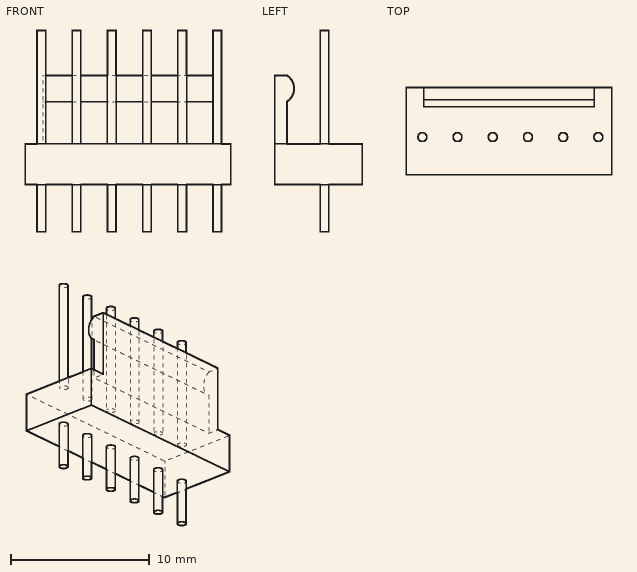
import cadquery as cq

base_length = 14.86
base_depth = 6.33
base_height = 2.94

pin_count = 6
pin_pitch = 2.54
pin_diameter = 0.64
first_pin_x = 1.17
pin_row_y = 2.73
pin_length_below = 3.42
pin_length_above = 8.19

wall_end_inset = 1.26
wall_thickness = 0.89
wall_height = 4.93
bead_height = 1.89
bead_projection = 0.52


def make_base():
    return cq.Workplane("XY").box(base_length, base_depth, base_height, centered=False)


def make_locking_wall():
    wall_length = base_length - 2 * wall_end_inset
    wall_front_y = base_depth - wall_thickness
    wall_top_z = base_height + wall_height
    bead_bottom_z = wall_top_z - bead_height
    bead_middle = (wall_front_y - bead_projection, wall_top_z - bead_height / 2)
    return (
        cq.Workplane("YZ", origin=(wall_end_inset, 0, 0))
        .moveTo(base_depth, 0)
        .lineTo(base_depth, wall_top_z)
        .lineTo(wall_front_y, wall_top_z)
        .threePointArc(bead_middle, (wall_front_y, bead_bottom_z))
        .lineTo(wall_front_y, 0)
        .close()
        .extrude(wall_length)
    )


def make_pins():
    pin_centers = [(first_pin_x + i * pin_pitch, pin_row_y) for i in range(pin_count)]
    pin_length = pin_length_below + base_height + pin_length_above
    return (
        cq.Workplane("XY", origin=(0, 0, -pin_length_below))
        .pushPoints(pin_centers)
        .circle(pin_diameter / 2)
        .extrude(pin_length)
    )


result = make_base().union(make_locking_wall()).union(make_pins())